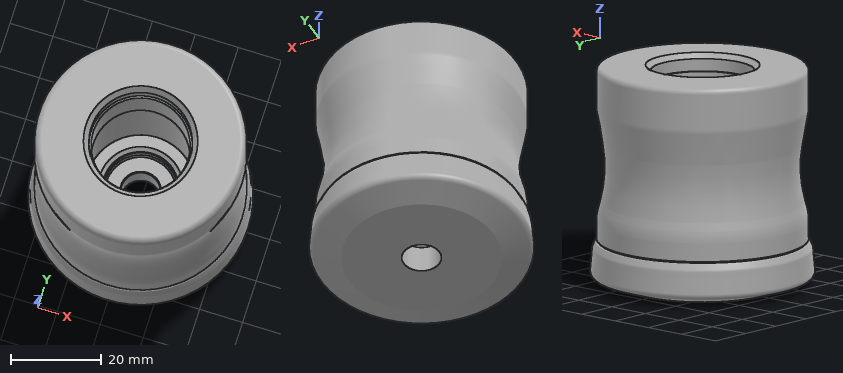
import cadquery as cq
import math

total_height = 50.0
seam_height = 10.1

handle_radius = 23.6
handle_top_fillet = 1.5
handle_foot_chamfer = 0.4
waist_radius = 21.75
waist_height = 26.85
waist_arc_radius = 30.0
upper_flare_angle = math.radians(10)
lower_flare_angle = math.radians(15)
upper_blend_radius = 5.0
lower_blend_radius = 10.0

mouth_radius = 11.5
mouth_chamfer = 1.2
mouth_depth = 4.0
bore_radius = 11.0
bore_depth = 14.4
cavity_radius = 12.2
cavity_flare_height = 2.1
cavity_lip_step = 0.1
cavity_lip_height = 0.3

base_underside_angle = math.radians(17)
base_skirt_radius = 25.0
base_skirt_angle = math.radians(5)
base_edge_radius = 1.4
base_edge_center_height = 3.22
base_band_height = 7.1
base_band_angle = math.radians(4.5)
base_shoulder_height = 8.55
base_shoulder_angle = math.radians(25.5)
base_shoulder_blend = 1.0
base_top_blend = 0.3
edge_pick_margin = 0.1

seat_radius = 9.5
seat_inner_radius = 8.5
seat_depth = 0.6
recess_radius = 8.3
recess_depth = 3.0
recess_floor_radius = 7.9
hole_radius = 4.4
hole_chamfer = 0.2


def on_arc(center_radius, center_height, radius, angle):
    """Point of an arc in the radius-height plane; the angle is taken from outward, positive upward."""
    return (
        center_radius + radius * math.cos(angle),
        center_height + radius * math.sin(angle),
    )


def revolve_profile(profile):
    """Turn a closed radius-height outline about the Z axis."""
    return profile.close().revolve(360, (0, 0, 0), (0, 1, 0))


def blend_arc(handle_side, flare_angle, blend_radius):
    """Start, middle and end of the blend from the waist flare to the handle cylinder.

    handle_side is +1 for the upper flare and -1 for the lower one.
    """
    waist_end = on_arc(
        waist_radius + waist_arc_radius, waist_height, waist_arc_radius,
        math.pi - handle_side * flare_angle,
    )
    center_radius = handle_radius - blend_radius
    start_radius = center_radius + blend_radius * math.cos(flare_angle)
    flare_height = (start_radius - waist_end[0]) / math.tan(flare_angle)
    center_height = waist_end[1] + handle_side * (flare_height + blend_radius * math.sin(flare_angle))
    angles = (-handle_side * flare_angle, -handle_side * flare_angle / 2, 0)
    blend = [on_arc(center_radius, center_height, blend_radius, angle) for angle in angles]
    return waist_end, blend


def make_handle():
    upper_waist, upper_blend = blend_arc(1, upper_flare_angle, upper_blend_radius)
    lower_waist, lower_blend = blend_arc(-1, lower_flare_angle, lower_blend_radius)
    bore_end = total_height - bore_depth
    lip_top = bore_end - cavity_flare_height
    cavity_top = lip_top - cavity_lip_height
    profile = (
        cq.Workplane("XZ")
        .moveTo(cavity_radius, seam_height)
        .lineTo(handle_radius - handle_foot_chamfer, seam_height)
        .lineTo(handle_radius, seam_height + handle_foot_chamfer)
        .lineTo(*lower_blend[2])
        .threePointArc(lower_blend[1], lower_blend[0])
        .lineTo(*lower_waist)
        .threePointArc((waist_radius, waist_height), upper_waist)
        .lineTo(*upper_blend[0])
        .threePointArc(upper_blend[1], upper_blend[2])
        .lineTo(handle_radius, total_height - handle_top_fillet)
        .radiusArc((handle_radius - handle_top_fillet, total_height), -handle_top_fillet)
        .lineTo(mouth_radius + mouth_chamfer, total_height)
        .lineTo(mouth_radius, total_height - mouth_chamfer)
        .lineTo(mouth_radius, total_height - mouth_depth)
        .lineTo(bore_radius, total_height - mouth_depth)
        .lineTo(bore_radius, bore_end)
        .lineTo(cavity_radius - cavity_lip_step, lip_top)
        .lineTo(cavity_radius - cavity_lip_step, cavity_top)
        .lineTo(cavity_radius, cavity_top)
    )
    return revolve_profile(profile)


def make_base():
    edge_center_radius = base_skirt_radius - base_edge_radius

    def edge_point(angle):
        return on_arc(edge_center_radius, base_edge_center_height, base_edge_radius, angle)

    edge_start = edge_point(base_underside_angle - math.pi / 2)
    edge_end = edge_point(base_skirt_angle)
    band_radius = edge_end[0] - (base_band_height - edge_end[1]) * math.tan(base_skirt_angle)
    shoulder_radius = band_radius - (base_shoulder_height - base_band_height) * math.tan(base_band_angle)
    top_radius = shoulder_radius - (seam_height - base_shoulder_height) * math.tan(base_shoulder_angle)
    floor_height = seam_height - recess_depth
    profile = (
        cq.Workplane("XZ")
        .moveTo(hole_radius, 0)
        .lineTo(edge_start[0] - edge_start[1] / math.tan(base_underside_angle), 0)
        .lineTo(*edge_start)
        .threePointArc(edge_point(0), edge_end)
        .lineTo(band_radius, base_band_height)
        .lineTo(shoulder_radius, base_shoulder_height)
        .lineTo(top_radius, seam_height)
        .lineTo(seat_radius, seam_height)
        .lineTo(seat_inner_radius, seam_height - seat_depth)
        .lineTo(recess_radius, seam_height - seat_depth)
        .lineTo(recess_radius, floor_height + recess_radius - recess_floor_radius)
        .lineTo(recess_floor_radius, floor_height)
        .lineTo(hole_radius + hole_chamfer, floor_height)
        .lineTo(hole_radius, floor_height - hole_chamfer)
    )
    blank = revolve_profile(profile)
    shoulder_edge = cq.selectors.BoxSelector(
        (-base_skirt_radius, -base_skirt_radius, base_shoulder_height - edge_pick_margin),
        (base_skirt_radius, base_skirt_radius, base_shoulder_height + edge_pick_margin),
    )
    rounded = blank.edges(shoulder_edge).fillet(base_shoulder_blend)
    return rounded.faces(">Z").edges(cq.selectors.RadiusNthSelector(-1)).fillet(base_top_blend)


handle = make_handle()
base = make_base()

result = cq.Compound.makeCompound([handle.val(), base.val()])